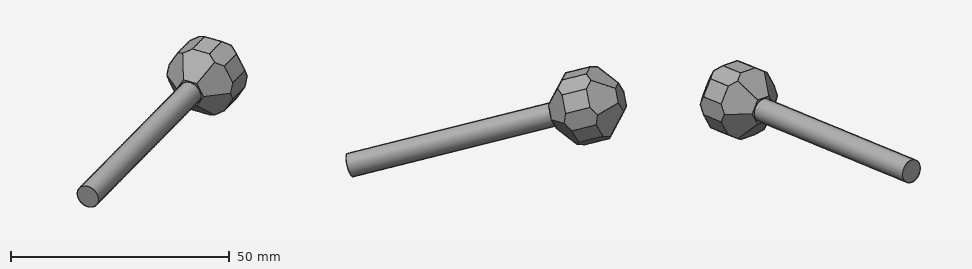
import cadquery as cq
import math

total_length = 66.5
head_size = 16.5
shaft_diameter = 5.5
end_face_across_flats = 6.0
facet_angle = 45.0
band_sides = 12
facet_sides = 6

head_half = head_size / 2
shaft_length = total_length - head_size


def faceted_band():
    """Twelve-sided prism along Y with flats facing +/-X and +/-Z."""
    return (
        cq.Workplane("XZ", origin=(0, head_half, 0))
        .polygon(band_sides, head_size, circumscribed=True)
        .extrude(head_size)
    )


def hexagonal_double_frustum():
    """Two hexagonal frustums, flats facing +/-Z, joined at the head's middle plane."""
    flats_to_z_angle = 90
    facet_rise = head_half * math.tan(math.radians(facet_angle))
    middle_across_flats = end_face_across_flats + 2 * facet_rise
    front_half = (
        cq.Workplane("XZ")
        .transformed(rotate=(0, 0, flats_to_z_angle))
        .polygon(facet_sides, middle_across_flats, circumscribed=True)
        .extrude(head_half, taper=facet_angle)
    )
    back_half = front_half.mirror("XZ")
    return front_half.union(back_half)


def shaft():
    """Plain round pin leaving the -Y end face of the head."""
    return (
        cq.Workplane("XZ", origin=(0, -head_half, 0))
        .circle(shaft_diameter / 2)
        .extrude(shaft_length)
    )


head = faceted_band().intersect(hexagonal_double_frustum())
result = head.union(shaft()).clean()